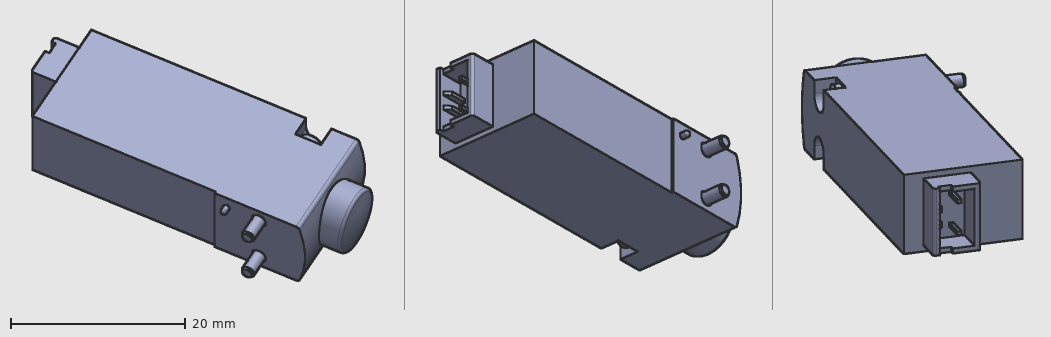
import cadquery as cq
import math

TOTAL_LENGTH = 42.2

HEIGHT = 9.8
DEPTH = 14.7
BLOCK_START = 3.5
NOSE_END = 39.05
NOSE_RADIUS = 15.0
NOSE_CORNER_FILLET = 0.5
MOUNT_FACE_START = 27.3
MOUNT_FACE_STEP = 0.25

KNOB_DIAMETER = 8.1
KNOB_CENTER_Y = 7.47
KNOB_EDGE_X = 41.85
KNOB_EDGE_FILLET = 0.4
KNOB_ROOT_X = 36.95

SOCKET_HEIGHT = 8.28
SOCKET_DEPTH = 5.75
SOCKET_FRONT_Y = 6.55
SOCKET_BACK_Y = SOCKET_FRONT_Y + SOCKET_DEPTH
SOCKET_EDGE_FILLET = 0.35
BACK_WALL = 0.75
FRONT_WALL = 0.75
END_WALL = 0.65
NOTCH_WIDTH = 1.55
NOTCH_DEPTH = 0.55
CAVITY_FRONT_Y = SOCKET_FRONT_Y + FRONT_WALL
CAVITY_BACK_Y = SOCKET_BACK_Y - BACK_WALL

RIB_THICKNESS = 0.5
RIB_WIDTH = 0.7
RIB_SPACING = 1.9
RIB_TIP_X = NOTCH_DEPTH
CONTACT_SIZE = 0.45
CONTACT_SPACING = 3.93
CONTACT_TIP_X = 0.6
CONTACT_OFFSET = 2.58
CONTACT_Y = CAVITY_BACK_Y - CONTACT_OFFSET

SCREW_X = 33.05
SCREW_SPACING = 6.45
SCREW_DIAMETER = 1.6
SCREW_TIP_DIAMETER = 1.3
SCREW_TIP_LENGTH = 0.25
SCREW_PROTRUSION = 2.9
SCREW_HOLE_DIAMETER = 1.8
HEAD_DIAMETER = 2.9
HEAD_RIM_HEIGHT = 0.85
HEAD_DOME_HEIGHT = 0.42
SEAT_WIDTH = 3.3
SEAT_DEPTH = 2.65
SEAT_Y = DEPTH - SEAT_DEPTH

LOCATOR_DIAMETER = 0.8
LOCATOR_X = 28.88
LOCATOR_STRAIGHT = 0.68
LOCATOR_Z = SCREW_SPACING / 2


def box(x_range, y_range, z_range):
    """Box between two limits along each axis."""
    (x0, x1), (y0, y1), (z0, z1) = x_range, y_range, z_range
    return cq.Workplane("XY").box(x1 - x0, y1 - y0, z1 - z0, centered=False).translate((x0, y0, z0))


def centered_z(height, middle=0.0):
    """Z limits of a feature of the given height around a middle level."""
    return (middle - height / 2, middle + height / 2)


def rod_along_y(diameter, x, z, y_start, y_end):
    """Cylinder along Y."""
    rod = cq.Workplane("XZ").circle(diameter / 2).extrude(y_start - y_end)
    return rod.translate((x, y_start, z))


def make_block():
    """Block with a curved nose and a slightly raised mounting face."""
    half = HEIGHT / 2
    corner_x = NOSE_END - NOSE_RADIUS + math.sqrt(NOSE_RADIUS**2 - half**2)
    block = (
        cq.Workplane("XZ")
        .moveTo(BLOCK_START, -half)
        .lineTo(corner_x, -half)
        .threePointArc((NOSE_END, 0), (corner_x, half))
        .lineTo(BLOCK_START, half)
        .close()
        .extrude(-DEPTH)
    )
    block = block.edges("|Y and (not <X)").fillet(NOSE_CORNER_FILLET)
    return block.cut(box((BLOCK_START, MOUNT_FACE_START), (0, MOUNT_FACE_STEP), centered_z(HEIGHT)))


def make_knob():
    """Round knob with a rounded rim and a shallow domed end."""
    radius = KNOB_DIAMETER / 2
    rim_radius = radius - KNOB_EDGE_FILLET
    rim_start = KNOB_EDGE_X - KNOB_EDGE_FILLET
    dome_height = TOTAL_LENGTH - KNOB_EDGE_X
    dome_radius = (rim_radius**2 + dome_height**2) / (2 * dome_height)
    middle_radius = rim_radius / 2
    middle_x = TOTAL_LENGTH - dome_radius + math.sqrt(dome_radius**2 - middle_radius**2)
    diagonal = KNOB_EDGE_FILLET * math.sqrt(0.5)
    profile = (
        cq.Workplane("XY")
        .moveTo(KNOB_ROOT_X, 0)
        .lineTo(KNOB_ROOT_X, radius)
        .lineTo(rim_start, radius)
        .threePointArc((rim_start + diagonal, rim_radius + diagonal), (KNOB_EDGE_X, rim_radius))
        .threePointArc((middle_x, middle_radius), (TOTAL_LENGTH, 0))
        .close()
    )
    return profile.revolve(360, (0, 0, 0), (1, 0, 0)).translate((0, KNOB_CENTER_Y, 0))


def make_socket():
    """Connector shell, open towards -X, with a notch across both end walls."""
    shell = box((0, BLOCK_START), (SOCKET_FRONT_Y, SOCKET_BACK_Y), centered_z(SOCKET_HEIGHT))
    shell = shell.edges("|Z and <X").fillet(SOCKET_EDGE_FILLET)
    cavity_height = SOCKET_HEIGHT - 2 * END_WALL
    cavity = box((0, BLOCK_START), (CAVITY_FRONT_Y, CAVITY_BACK_Y), centered_z(cavity_height))
    notch = box((0, NOTCH_DEPTH), (CAVITY_BACK_Y - NOTCH_WIDTH, CAVITY_BACK_Y), centered_z(SOCKET_HEIGHT))
    return shell.cut(cavity).cut(notch)


def make_rib(z):
    """Rib on the inside of the back wall, with a tip bevelled at 45 degrees."""
    rib = (
        cq.Workplane("XY")
        .moveTo(RIB_TIP_X, CAVITY_BACK_Y)
        .lineTo(RIB_TIP_X + RIB_WIDTH, CAVITY_BACK_Y - RIB_WIDTH)
        .lineTo(BLOCK_START, CAVITY_BACK_Y - RIB_WIDTH)
        .lineTo(BLOCK_START, CAVITY_BACK_Y)
        .close()
        .extrude(RIB_THICKNESS)
    )
    return rib.translate((0, 0, z - RIB_THICKNESS / 2))


def make_contact(z):
    """Square contact standing on the socket floor."""
    y_range = (CONTACT_Y - CONTACT_SIZE / 2, CONTACT_Y + CONTACT_SIZE / 2)
    return box((CONTACT_TIP_X, BLOCK_START), y_range, centered_z(CONTACT_SIZE, z))


def make_locator():
    """Locating pin with a hemispherical tip on the mounting face."""
    tip = cq.Workplane("XY").sphere(LOCATOR_DIAMETER / 2)
    tip = tip.translate((LOCATOR_X, -LOCATOR_STRAIGHT, LOCATOR_Z))
    return rod_along_y(LOCATOR_DIAMETER, LOCATOR_X, LOCATOR_Z, -LOCATOR_STRAIGHT, 0).union(tip)


def make_screw_seat(side):
    """Cutter for a screw: clearance hole plus a round-bottomed slot open to the back and one side."""
    z = side * SCREW_SPACING / 2
    hole = rod_along_y(SCREW_HOLE_DIAMETER, SCREW_X, z, 0, DEPTH)
    round_bottom = rod_along_y(SEAT_WIDTH, SCREW_X, z, SEAT_Y, DEPTH)
    x_range = (SCREW_X - SEAT_WIDTH / 2, SCREW_X + SEAT_WIDTH / 2)
    opening = box(x_range, (SEAT_Y, DEPTH), sorted((z, side * HEIGHT)))
    return hole.union(round_bottom).union(opening)


def make_housing():
    """Block, knob, socket and locating pin as one body."""
    housing = make_block().union(make_knob()).union(make_socket()).union(make_locator())
    for side in (-1, 1):
        housing = housing.union(make_rib(side * RIB_SPACING / 2))
        housing = housing.union(make_contact(side * CONTACT_SPACING / 2))
        housing = housing.cut(make_screw_seat(side))
    return housing


def make_screw(side):
    """Dome-headed screw, revolved about its axis, with a tapered tip."""
    radius = SCREW_DIAMETER / 2
    head_radius = HEAD_DIAMETER / 2
    rim_y = SEAT_Y + HEAD_RIM_HEIGHT
    top_y = rim_y + HEAD_DOME_HEIGHT
    dome_radius = (head_radius**2 + HEAD_DOME_HEIGHT**2) / (2 * HEAD_DOME_HEIGHT)
    middle_radius = head_radius / 2
    middle_y = top_y - dome_radius + math.sqrt(dome_radius**2 - middle_radius**2)
    profile = (
        cq.Workplane("XY")
        .moveTo(0, -SCREW_PROTRUSION)
        .lineTo(SCREW_TIP_DIAMETER / 2, -SCREW_PROTRUSION)
        .lineTo(radius, SCREW_TIP_LENGTH - SCREW_PROTRUSION)
        .lineTo(radius, SEAT_Y)
        .lineTo(head_radius, SEAT_Y)
        .lineTo(head_radius, rim_y)
        .threePointArc((middle_radius, middle_y), (0, top_y))
        .close()
    )
    screw = profile.revolve(360, (0, 0, 0), (0, 1, 0))
    return screw.translate((SCREW_X, 0, side * SCREW_SPACING / 2))


housing = make_housing()
screws = [make_screw(side) for side in (-1, 1)]

result = cq.Compound.makeCompound([housing.val(), *[screw.val() for screw in screws]])